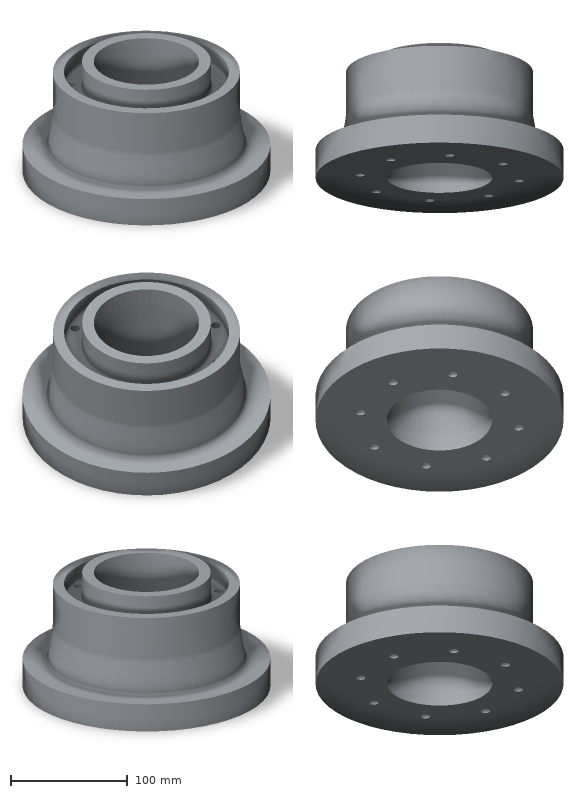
import cadquery as cq
import math

flange_radius = 106.0
flange_height = 25.0

hub_radius = 80.0
hub_top = 94.0
cone_top = 55.0
cone_base_radius = 85.0
cone_base_fillet = 3.0
cone_top_blend = 15.0

edge_search_margin = 1.0

sleeve_radius = 55.0
sleeve_top = 104.0
bore_radius = 45.0

groove_outer_radius = 70.5
groove_floor = 79.0
groove_fillet = 3.0

hole_count = 8
hole_diameter = 8.0
hole_circle_radius = 65.0
hole_slant = math.radians(2.5)
hole_overrun = 10.0


def circle_at(radius, height):
    """Selector for edges centred on the Z axis at a height, no larger than a radius."""
    reach = radius + edge_search_margin
    return cq.selectors.BoxSelector(
        (-reach, -reach, height - edge_search_margin),
        (reach, reach, height + edge_search_margin),
        boundingbox=True,
    )


def make_body():
    """Revolved outer shape, with the cone blended into the flange and the cylinder."""
    body = (
        cq.Workplane("XZ")
        .moveTo(bore_radius, 0)
        .lineTo(flange_radius, 0)
        .lineTo(flange_radius, flange_height)
        .lineTo(cone_base_radius, flange_height)
        .lineTo(hub_radius, cone_top)
        .lineTo(hub_radius, hub_top)
        .lineTo(sleeve_radius, hub_top)
        .lineTo(sleeve_radius, sleeve_top)
        .lineTo(bore_radius, sleeve_top)
        .close()
        .revolve(360, (0, 0, 0), (0, 1, 0))
    )
    body = body.edges(circle_at(cone_base_radius, flange_height)).fillet(cone_base_fillet)
    return body.edges(circle_at(hub_radius, cone_top)).fillet(cone_top_blend)


def make_groove():
    """Ring groove with both bottom corners rounded."""
    return (
        cq.Workplane("XY")
        .workplane(offset=groove_floor)
        .circle(groove_outer_radius)
        .circle(sleeve_radius)
        .extrude(sleeve_top - groove_floor)
        .faces("<Z")
        .edges()
        .fillet(groove_fillet)
    )


def make_holes():
    """Ring of slanted cutters that pass from the groove floor through the base."""
    direction = cq.Vector(math.sin(hole_slant), 0, -math.cos(hole_slant))
    floor_centre = cq.Vector(hole_circle_radius, 0, groove_floor)
    start = floor_centre - direction * hole_overrun
    length = groove_floor / math.cos(hole_slant) + 2 * hole_overrun
    cutter = cq.Solid.makeCylinder(hole_diameter / 2, length, start, direction)
    holes = cq.Workplane("XY")
    for index in range(hole_count):
        angle = index * 360 / hole_count
        holes = holes.add(cutter.rotate(cq.Vector(0, 0, 0), cq.Vector(0, 0, 1), angle))
    return holes.combine()


result = make_body().cut(make_groove()).cut(make_holes())